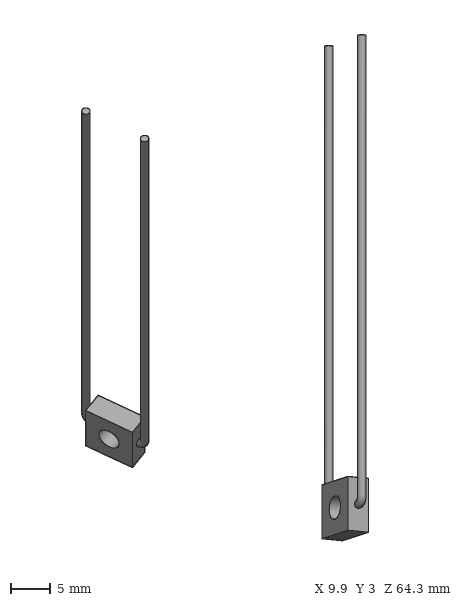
import cadquery as cq

overall_width = 9.9
overall_height = 64.3

block_side = 7.0
block_depth = 3.0
hole_diameter = 3.0

wire_diameter = 1.1

lead_x = (overall_width - wire_diameter) / 2
joint_x = block_side / 2
joint_z = block_side / 2
bend_radius = lead_x - joint_x
bend_top_z = joint_z + bend_radius


def make_block():
    """Square block standing on Z = 0, bored through along Y."""
    block = cq.Workplane("XY").box(block_side, block_depth, block_side, centered=(True, True, False))
    bore = (
        cq.Workplane("XZ", origin=(0, 0, block_side / 2))
        .circle(hole_diameter / 2)
        .extrude(block_depth, both=True)
    )
    return block.cut(bore)


def make_lead(side):
    """Bent wire butting against the block; side is -1 for the -X lead, +1 for the +X lead."""
    wire_radius = wire_diameter / 2
    straight = (
        cq.Workplane("XY", origin=(side * lead_x, 0, bend_top_z))
        .circle(wire_radius)
        .extrude(overall_height - bend_top_z)
    )
    bend = (
        cq.Workplane("XY", origin=(side * lead_x, 0, bend_top_z))
        .circle(wire_radius)
        .revolve(90, (-side * bend_radius, 0, 0), (-side * bend_radius, side, 0))
    )
    return straight.union(bend)


block = make_block()
leads = [make_lead(side) for side in (-1, 1)]

result = cq.Compound.makeCompound([block.val(), *[lead.val() for lead in leads]])